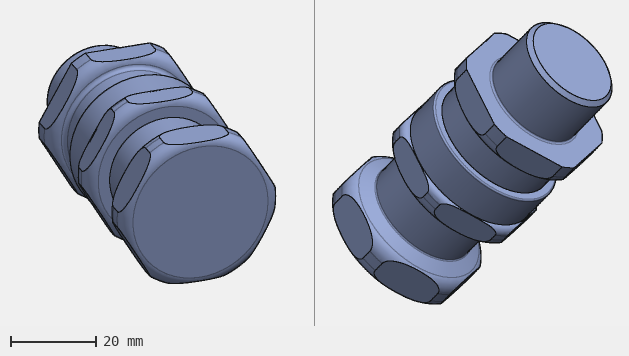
import cadquery as cq
import math

TOTAL_LENGTH = 70.1

ACROSS_FLATS = 36.0
CREST_RADIUS = 39.5 / 2
HEX_FACE_RADIUS = 33.4 / 2

STUB_RADIUS = 24.8 / 2
STUB_CHAMFER = 1.1
STUB_FILLET = 0.5
ENTRY_HEX_START = 15.0
ENTRY_CREST_END = 18.65
ENTRY_HEX_END = 22.0
NECK_RADIUS = 31.2 / 2
NECK_FILLET = HEX_FACE_RADIUS - NECK_RADIUS

SLEEVE_START = 30.35
SLEEVE_RADIUS = 35.7 / 2
SLEEVE_EDGE = 0.4
MIDDLE_HEX_START = 39.8
MIDDLE_CREST_START = 41.6
MIDDLE_CREST_END = 43.25
MIDDLE_HEX_END = 46.5

SHANK_RADIUS = 27.7 / 2
SHANK_END = 58.7
SHANK_FILLET = 0.4
CONE_ANGLE = 62.0
REAR_CREST_START = 64.4
REAR_CREST_END = 67.15
CONE_END = 60.85


def corner_arc_middle(crest_x, face_x, face_radius):
    """Middle point of the arc that leaves the crest parallel to the axis and ends on a face."""
    run = abs(face_x - crest_x)
    drop = CREST_RADIUS - face_radius
    arc_radius = (run**2 + drop**2) / (2 * drop)
    half_angle = math.atan2(drop, run)
    direction = math.copysign(1, face_x - crest_x)
    return (
        crest_x + direction * arc_radius * math.sin(half_angle),
        CREST_RADIUS - arc_radius * (1 - math.cos(half_angle)),
    )


def round_from_crest(profile, crest_x, face_x, face_radius):
    """Draw the rounded corner from the crest down to a face."""
    middle = corner_arc_middle(crest_x, face_x, face_radius)
    return profile.threePointArc(middle, (face_x, face_radius))


def round_to_crest(profile, crest_x, face_x, face_radius):
    """Draw the rounded corner from a face up to the crest."""
    middle = corner_arc_middle(crest_x, face_x, face_radius)
    return profile.threePointArc(middle, (crest_x, CREST_RADIUS))


def turn(profile):
    """Close a half profile and revolve it about the X axis."""
    return profile.close().revolve(360, (0, 0, 0), (1, 0, 0))


def mill_flats(body):
    """Cut six flats on the hexagon, one pair facing up and down."""
    across_corners = ACROSS_FLATS / math.cos(math.pi / 6)
    envelope = cq.Workplane("YZ").polygon(6, across_corners).extrude(TOTAL_LENGTH)
    return body.intersect(envelope).solids()


def make_entry_body():
    profile = (
        cq.Workplane("XY")
        .lineTo(0, STUB_RADIUS - STUB_CHAMFER)
        .lineTo(STUB_CHAMFER, STUB_RADIUS)
        .lineTo(ENTRY_HEX_START - STUB_FILLET, STUB_RADIUS)
        .radiusArc((ENTRY_HEX_START, STUB_RADIUS + STUB_FILLET), -STUB_FILLET)
        .lineTo(ENTRY_HEX_START, CREST_RADIUS)
        .lineTo(ENTRY_CREST_END, CREST_RADIUS)
    )
    profile = (
        round_from_crest(profile, ENTRY_CREST_END, ENTRY_HEX_END, HEX_FACE_RADIUS)
        .radiusArc((ENTRY_HEX_END + NECK_FILLET, NECK_RADIUS), -NECK_FILLET)
        .lineTo(SLEEVE_START, NECK_RADIUS)
        .lineTo(SLEEVE_START, 0)
    )
    return mill_flats(turn(profile))


def make_middle_nut():
    profile = (
        cq.Workplane("XY")
        .moveTo(SLEEVE_START, 0)
        .lineTo(SLEEVE_START, SLEEVE_RADIUS - SLEEVE_EDGE)
        .radiusArc((SLEEVE_START + SLEEVE_EDGE, SLEEVE_RADIUS), SLEEVE_EDGE)
        .lineTo(MIDDLE_HEX_START, SLEEVE_RADIUS)
    )
    profile = round_to_crest(profile, MIDDLE_CREST_START, MIDDLE_HEX_START, SLEEVE_RADIUS)
    profile = profile.lineTo(MIDDLE_CREST_END, CREST_RADIUS)
    profile = round_from_crest(profile, MIDDLE_CREST_END, MIDDLE_HEX_END, HEX_FACE_RADIUS)
    return mill_flats(turn(profile.lineTo(MIDDLE_HEX_END, 0)))


def make_rear_nut():
    slope = math.radians(CONE_ANGLE)
    cone_start = SHANK_END + SHANK_FILLET * math.sin(slope)
    cone_start_radius = SHANK_RADIUS + SHANK_FILLET * (1 - math.cos(slope))
    cone_end_radius = cone_start_radius + (CONE_END - cone_start) * math.tan(slope)
    profile = (
        cq.Workplane("XY")
        .moveTo(MIDDLE_HEX_END, 0)
        .lineTo(MIDDLE_HEX_END, SHANK_RADIUS)
        .lineTo(SHANK_END, SHANK_RADIUS)
        .radiusArc((cone_start, cone_start_radius), -SHANK_FILLET)
        .lineTo(CONE_END, cone_end_radius)
    )
    profile = round_to_crest(profile, REAR_CREST_START, CONE_END, cone_end_radius)
    profile = profile.lineTo(REAR_CREST_END, CREST_RADIUS)
    profile = round_from_crest(profile, REAR_CREST_END, TOTAL_LENGTH, HEX_FACE_RADIUS)
    return mill_flats(turn(profile.lineTo(TOTAL_LENGTH, 0)))


entry_body = make_entry_body()
middle_nut = make_middle_nut()
rear_nut = make_rear_nut()

result = cq.Compound.makeCompound([entry_body.val(), middle_nut.val(), rear_nut.val()])